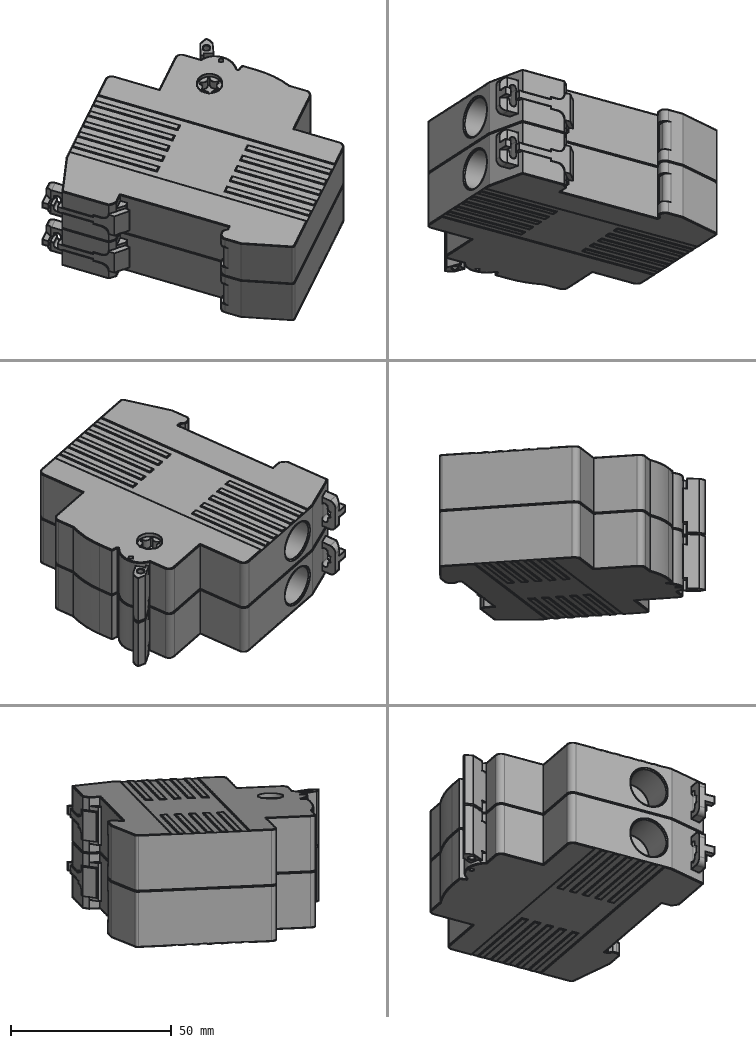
import cadquery as cq
import math


POLE_COUNT = 2
POLE_WIDTH = 17.8
BODY_LENGTH = 79.0
FOOT_Y = 0.3
SHOULDER_Y = 49.8
FRONT_Y = 65.75
FRONT_X0, FRONT_X1 = 17.1, 61.9
CORNER_RADIUS = 2.05
EDGE_CHAMFER = 0.25
LEFT_SLOPE_TOP_Y = 13.7
LEFT_FOOT_X0, LEFT_FOOT_X1 = 3.7, 19.2
RIGHT_FOOT_X = 63.05
RIGHT_SLOPE_TOP_Y = 4.9
RIGHT_CORNER_RADIUS = 1.0

CHANNEL_TOP_Y = 5.5
CHANNEL_X0, CHANNEL_X1 = 21.0, 57.1
CHANNEL_LIP_Y = 2.05
HOOK_NOSE_X = 55.85
HOOK_RADIUS = 1.9
HOOK_NOSE_TOP_Y = 3.35
HOOK_NECK_Y = 4.4
HOOK_RELIEF_WIDTH = 9.65
HOOK_RELIEF_SETBACK = 0.9

DOME_X = 30.8
DOME_RADIUS = 6.9
DOME_TOP_Y = 69.2
DOME_END_X = 36.3
NOTCH_X0, NOTCH_X1, NOTCH_Y = 36.6, 37.1, 66.1
CREST_X0, CREST_X1, CREST_END_X = 37.7, 42.6, 54.2
CREST_Y = 68.1
PIN_DIAMETER = 1.5
PIN_Y = 67.6

BAND_Y = 28.55
BAND_HEIGHT = 24.9
BAND_DEPTH = EDGE_CHAMFER
RIB_COUNT = 5
RIB_PITCH = 4.5
RIB_LENGTH = 28.3
RIB_HEIGHT = 2.2

TERMINAL_DIAMETER = 12.7
TERMINAL_Y = 21.75
TERMINAL_DEPTH = 11.45
TERMINAL_CHAMFER = 0.4

RIVET_Y = 57.6
RIVET_DIAMETER = 7.9
RIVET_DEPTH = 1.4
SOCKET_DEPTH = 3.3
SOCKET_LOBES = 6
SOCKET_TIP_RADIUS = 3.3
SOCKET_VALLEY_RADIUS = 2.2
SOCKET_TIP_HALF_ANGLE = 6
SOCKET_ROTATION = -5

HANDLE_WIDTH = 17.2
HANDLE_STEM_WIDTH = 10.6
HANDLE_TIP = (23.2, 74.4)
HANDLE_TIP_MIDDLE = (24.7, 74.1)
HANDLE_RIGHT_TOP = (25.9, 73.3)
HANDLE_RIGHT_FOOT = (28.8, 67.1)
HANDLE_LEFT_FOOT = (25.4, 64.6)
HANDLE_LEFT_TOP = (22.25, 71.9)
PADDLE_LEFT_Y = 67.55
PADDLE_RIGHT_Y = 69.8
PADDLE_STEP_FOOT = (25.0, 67.8)
PADDLE_STEP_TOP = (24.6, 68.7)
HANDLE_HOLE = (24.7, 71.0)
HANDLE_HOLE_DIAMETER = 2.1
HANDLE_HOLE_CHAMFER = 0.2

CLIP_HEAD_X0, CLIP_HEAD_X1 = -2.8, 4.9
CLIP_HEAD_Y0, CLIP_HEAD_Y1 = 2.1, 5.4
CLIP_HEAD_WIDTH = 11.4
CLIP_HEAD_RADIUS = 2.1
CLIP_BEVEL_Y = 3.35
CLIP_TAB_X = -0.8
CLIP_SLOT_X = 1.3
CLIP_SLOT_WIDTH = 2.3
CLIP_SLOT_LENGTH = 7.4
CLIP_SLOT_MOUTH = 4.9
CLIP_SLOT_THROAT = 2.1
CLIP_BAR_X = 2.3
CLIP_BAR_WIDTH = 2.45
CLIP_STEP_X = 14.1
CLIP_STEP_WIDTH = 4.0
CLIP_FLARE_END_X = 19.1
CLIP_FLARE_RADIUS = 2.45
CLIP_NOSE_WIDTH = 9.3
CLIP_NOSE_UNDER_X = 21.2
CLIP_NOSE_X = 24.7
CLIP_NOSE_Y0, CLIP_NOSE_Y1 = 3.6, 3.9
CLIP_SLIDE_X = 23.4
CLIP_SLIDE_WIDTH = 12.0
CLIP_SLIDE_TOP_Y = CHANNEL_TOP_Y
CLIP_NOSE_TOP = (CLIP_SLIDE_X, 4.4)


def slab(profile, width):
    """Extrude an XY profile by a width centred on the middle plane of the lower pole."""
    return profile.extrude(width / 2, both=True).translate((0, 0, POLE_WIDTH / 2))


def side_block(x0, x1, y0, y1, width):
    """Block centred on the middle plane of the lower pole."""
    return slab(cq.Workplane("XY").center((x0 + x1) / 2, (y0 + y1) / 2).rect(x1 - x0, y1 - y0), width)


def trace_hook(path, shift=0):
    """Continue a path from the channel roof around the hook to its underside.

    A shift moves the nose in +X while the neck stays in place.
    """
    turn = HOOK_RADIUS * (1 - math.sqrt(0.5))
    nose = HOOK_NOSE_X + shift
    neck_slope = (HOOK_NECK_Y - HOOK_NOSE_TOP_Y) / (CHANNEL_X1 - HOOK_NOSE_X)
    return (
        path.lineTo(CHANNEL_X1, CHANNEL_TOP_Y)
        .lineTo(CHANNEL_X1, HOOK_NECK_Y)
        .lineTo(nose, HOOK_NOSE_TOP_Y + neck_slope * shift)
        .lineTo(nose, FOOT_Y + HOOK_RADIUS)
        .threePointArc((nose + turn, FOOT_Y + turn), (nose + HOOK_RADIUS, FOOT_Y))
    )


def dome_height(x):
    return DOME_TOP_Y - DOME_RADIUS + math.sqrt(DOME_RADIUS**2 - (x - DOME_X) ** 2)


def dome_start_x():
    rise = FRONT_Y - (DOME_TOP_Y - DOME_RADIUS)
    return DOME_X - math.sqrt(DOME_RADIUS**2 - rise**2)


def crest_middle():
    """Halfway point of the crest arc, which leaves the flat crest tangentially."""
    run = CREST_END_X - CREST_X1
    drop = CREST_Y - FRONT_Y
    radius = (run**2 + drop**2) / (2 * drop)
    half_angle = math.asin(run / radius) / 2
    return (CREST_X1 + radius * math.sin(half_angle), CREST_Y - radius * (1 - math.cos(half_angle)))


def housing_outline():
    path = (
        cq.Workplane("XY")
        .moveTo(0, LEFT_SLOPE_TOP_Y)
        .lineTo(LEFT_FOOT_X0, FOOT_Y)
        .lineTo(LEFT_FOOT_X1, FOOT_Y)
        .lineTo(CHANNEL_X0, CHANNEL_LIP_Y)
        .lineTo(CHANNEL_X0, CHANNEL_TOP_Y)
    )
    return (
        trace_hook(path)
        .lineTo(RIGHT_FOOT_X, FOOT_Y)
        .lineTo(BODY_LENGTH, RIGHT_SLOPE_TOP_Y)
        .lineTo(BODY_LENGTH, SHOULDER_Y)
        .lineTo(FRONT_X1, SHOULDER_Y)
        .lineTo(FRONT_X1, FRONT_Y)
        .lineTo(CREST_END_X, FRONT_Y)
        .threePointArc(crest_middle(), (CREST_X1, CREST_Y))
        .lineTo(CREST_X0, CREST_Y)
        .lineTo(NOTCH_X1, NOTCH_Y)
        .lineTo(NOTCH_X0, NOTCH_Y)
        .lineTo(DOME_END_X, dome_height(DOME_END_X))
        .threePointArc((DOME_X, DOME_TOP_Y), (dome_start_x(), FRONT_Y))
        .lineTo(FRONT_X0, FRONT_Y)
        .lineTo(FRONT_X0, SHOULDER_Y)
        .lineTo(0, SHOULDER_Y)
        .close()
    )


def upright_edge(x, y):
    """Selector for the Z-parallel housing edge through (x, y)."""
    reach = 0.1
    return cq.selectors.BoxSelector((x - reach, y - reach, 0), (x + reach, y + reach, POLE_WIDTH))


def hook_relief():
    """Void that sets the middle stretch of the hook back from its two ends."""
    x_start = HOOK_NOSE_X - HOOK_RELIEF_SETBACK
    path = trace_hook(cq.Workplane("XY").moveTo(x_start, CHANNEL_TOP_Y), HOOK_RELIEF_SETBACK)
    return slab(path.lineTo(x_start, FOOT_Y).close(), HOOK_RELIEF_WIDTH)


def terminal_hole():
    radius = TERMINAL_DIAMETER / 2
    mouth_radius = radius + TERMINAL_CHAMFER
    return (
        cq.Workplane("XY")
        .polyline([
            (0, 0),
            (0, mouth_radius),
            (TERMINAL_CHAMFER, radius),
            (TERMINAL_DEPTH, radius),
            (TERMINAL_DEPTH, 0),
        ])
        .close()
        .revolve(360, (0, 0), (1, 0))
        .translate((0, TERMINAL_Y, POLE_WIDTH / 2))
    )


def housing():
    body = housing_outline().extrude(POLE_WIDTH)
    rounded_corners = [(0, SHOULDER_Y), (BODY_LENGTH, SHOULDER_Y), (FRONT_X0, FRONT_Y), (FRONT_X1, FRONT_Y)]
    for x, y in rounded_corners:
        body = body.edges(upright_edge(x, y)).fillet(CORNER_RADIUS)
    body = body.edges(upright_edge(BODY_LENGTH, RIGHT_SLOPE_TOP_Y)).fillet(RIGHT_CORNER_RADIUS)
    body = body.faces("<Z or >Z").chamfer(EDGE_CHAMFER)
    return body.cut(hook_relief()).cut(terminal_hole())


def point_at_height(lower, upper, y):
    """Point of the line through two points at height y."""
    share = (y - lower[1]) / (upper[1] - lower[1])
    return (lower[0] + share * (upper[0] - lower[0]), y)


def handle_profile(lower_end):
    """Handle outline closed at its lower end by points from right to left."""
    path = cq.Workplane("XY").moveTo(*HANDLE_TIP).threePointArc(HANDLE_TIP_MIDDLE, HANDLE_RIGHT_TOP)
    for point in lower_end:
        path = path.lineTo(*point)
    return path.lineTo(*HANDLE_LEFT_TOP).close()


def handle():
    """Wide paddle on a narrower stem that runs into the dome."""
    stem = handle_profile([HANDLE_RIGHT_FOOT, HANDLE_LEFT_FOOT])
    paddle = handle_profile([
        point_at_height(HANDLE_RIGHT_FOOT, HANDLE_RIGHT_TOP, PADDLE_RIGHT_Y),
        PADDLE_STEP_TOP,
        PADDLE_STEP_FOOT,
        point_at_height(HANDLE_LEFT_FOOT, HANDLE_LEFT_TOP, PADDLE_LEFT_Y),
    ])
    hole = slab(cq.Workplane("XY").center(*HANDLE_HOLE).circle(HANDLE_HOLE_DIAMETER / 2), HANDLE_WIDTH)
    lever = slab(stem, HANDLE_STEM_WIDTH).union(slab(paddle, HANDLE_WIDTH)).cut(hole)
    hole_rims = cq.selectors.RadiusNthSelector(0)
    return lever.faces("<Z or >Z").edges("%CIRCLE").edges(hole_rims).chamfer(HANDLE_HOLE_CHAMFER)


def clip_head():
    plate = side_block(CLIP_HEAD_X0, CLIP_HEAD_X1, CLIP_HEAD_Y0, CLIP_HEAD_Y1, CLIP_HEAD_WIDTH)
    plate = plate.edges("|Y and <X").fillet(CLIP_HEAD_RADIUS)
    bevel = (
        cq.Workplane("XY")
        .moveTo(CLIP_HEAD_X0, CLIP_HEAD_Y0)
        .lineTo(CLIP_TAB_X, CLIP_HEAD_Y0)
        .lineTo(CLIP_HEAD_X0, CLIP_BEVEL_Y)
        .close()
    )
    tab = side_block(CLIP_HEAD_X0, CLIP_TAB_X, 0, CLIP_BEVEL_Y, CLIP_BAR_WIDTH)
    return plate.cut(slab(bevel, CLIP_HEAD_WIDTH)).union(tab).cut(clip_slot())


def clip_slot():
    """Rounded slot through the head, with a mouth narrowing towards the tab."""
    thickness = CLIP_HEAD_Y1 - CLIP_HEAD_Y0
    slot = (
        cq.Workplane("XZ")
        .center(CLIP_SLOT_X, 0)
        .slot2D(CLIP_SLOT_LENGTH, CLIP_SLOT_WIDTH, 90)
        .extrude(-thickness)
    )
    mouth = (
        cq.Workplane("XZ")
        .moveTo(CLIP_TAB_X, -CLIP_SLOT_THROAT / 2)
        .lineTo(CLIP_SLOT_X, -CLIP_SLOT_MOUTH / 2)
        .lineTo(CLIP_SLOT_X, CLIP_SLOT_MOUTH / 2)
        .lineTo(CLIP_TAB_X, CLIP_SLOT_THROAT / 2)
        .close()
        .extrude(-thickness)
    )
    return slot.union(mouth).translate((0, CLIP_HEAD_Y0, POLE_WIDTH / 2))


def clip_bar():
    """Bar along the foot, stepped once and flared to the width of the nose."""
    turn = CLIP_FLARE_RADIUS * math.sqrt(0.5)
    flare_x = CLIP_FLARE_END_X - CLIP_FLARE_RADIUS
    flare_z = CLIP_STEP_WIDTH / 2 + CLIP_FLARE_RADIUS
    half = (
        cq.Workplane("XZ")
        .moveTo(CLIP_BAR_X, 0)
        .lineTo(CLIP_BAR_X, CLIP_BAR_WIDTH / 2)
        .lineTo(CLIP_STEP_X, CLIP_BAR_WIDTH / 2)
        .lineTo(CLIP_STEP_X, CLIP_STEP_WIDTH / 2)
        .lineTo(flare_x, CLIP_STEP_WIDTH / 2)
        .threePointArc((flare_x + turn, flare_z - turn), (CLIP_FLARE_END_X, flare_z))
        .lineTo(CLIP_FLARE_END_X, 0)
        .close()
        .extrude(-CLIP_HEAD_Y0)
    )
    return half.union(half.mirror("XY")).translate((0, 0, POLE_WIDTH / 2))


def clip_nose():
    nose = cq.Workplane("XY").polyline([
        (CLIP_FLARE_END_X, 0),
        (CLIP_NOSE_UNDER_X, 0),
        (CLIP_NOSE_X, CLIP_NOSE_Y0),
        (CLIP_NOSE_X, CLIP_NOSE_Y1),
        CLIP_NOSE_TOP,
        (CLIP_FLARE_END_X, FOOT_Y),
    ]).close()
    slide = cq.Workplane("XY").polyline([
        (CLIP_FLARE_END_X, FOOT_Y),
        CLIP_NOSE_TOP,
        (CLIP_SLIDE_X, CLIP_SLIDE_TOP_Y),
        (CHANNEL_X0, CLIP_SLIDE_TOP_Y),
    ]).close()
    return slab(nose, CLIP_NOSE_WIDTH).union(slab(slide, CLIP_SLIDE_WIDTH))


def pole():
    pin = cq.Workplane("XY").center(DOME_X, PIN_Y).circle(PIN_DIAMETER / 2).extrude(POLE_WIDTH)
    body = housing().union(handle()).cut(pin)
    for clip_part in (clip_head(), clip_bar(), clip_nose()):
        body = body.union(clip_part)
    return body


def band_recess():
    """Shallow band along X with 45 degree walls, sunk below an outer face at Z = 0."""
    half = BAND_HEIGHT / 2
    return (
        cq.Workplane("YZ")
        .polyline([
            (BAND_Y - half, 0),
            (BAND_Y + half, 0),
            (BAND_Y + half - BAND_DEPTH, -BAND_DEPTH),
            (BAND_Y - half + BAND_DEPTH, -BAND_DEPTH),
        ])
        .close()
        .extrude(BODY_LENGTH)
    )


def ribs():
    """Bevelled ribs that stand in the band up to Z = 0, running inwards from both ends."""
    x_middle = BODY_LENGTH / 2
    x_offset = (BODY_LENGTH - RIB_LENGTH) / 2
    y_first = BAND_Y - RIB_PITCH * (RIB_COUNT - 1) / 2
    places = []
    for row in range(RIB_COUNT):
        for side in (-1, 1):
            places.append((x_middle + side * x_offset, y_first + row * RIB_PITCH))
    return (
        cq.Workplane("XY", origin=(0, 0, -BAND_DEPTH))
        .pushPoints(places)
        .rect(RIB_LENGTH, RIB_HEIGHT)
        .extrude(BAND_DEPTH, taper=45)
    )


def socket():
    def at(radius, degrees):
        angle = math.radians(degrees + SOCKET_ROTATION)
        return (radius * math.cos(angle), radius * math.sin(angle))

    step = 360 / SOCKET_LOBES
    path = cq.Workplane("XY").moveTo(*at(SOCKET_TIP_RADIUS, -SOCKET_TIP_HALF_ANGLE))
    for lobe in range(SOCKET_LOBES):
        middle = lobe * step
        path = path.lineTo(*at(SOCKET_TIP_RADIUS, middle + SOCKET_TIP_HALF_ANGLE))
        next_tip = at(SOCKET_TIP_RADIUS, middle + step - SOCKET_TIP_HALF_ANGLE)
        path = path.threePointArc(at(SOCKET_VALLEY_RADIUS, middle + step / 2), next_tip)
    return path.close().extrude(-SOCKET_DEPTH)


def rivet_recess():
    """Recess opening at Z = 0, with the socket sunk into its floor."""
    counterbore = cq.Workplane("XY").circle(RIVET_DIAMETER / 2).extrude(-RIVET_DEPTH)
    return counterbore.union(socket().translate((0, 0, -RIVET_DEPTH))).translate((DOME_X, RIVET_Y, 0))


total_width = POLE_COUNT * POLE_WIDTH
result = pole()
for index in range(1, POLE_COUNT):
    result = result.union(pole().translate((0, 0, index * POLE_WIDTH)))

to_top = (0, 0, total_width)
result = result.cut(band_recess().translate(to_top)).cut(band_recess().mirror("XY"))
result = result.union(ribs().translate(to_top)).union(ribs().mirror("XY"))
result = result.cut(rivet_recess().translate(to_top))